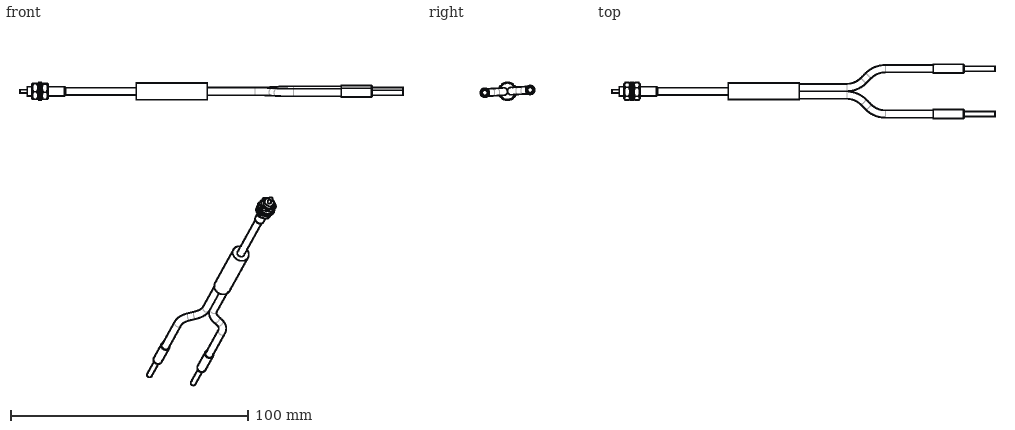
import cadquery as cq
import math


tip_length = 3.0
tip_diameter = 1.5
barrel_length = 16.3
barrel_diameter = 4.0
barrel_chamfer = 0.6

nut_start = 4.9
nut_length = 3.0
nut_across_flats = 6.5
nut_across_corners = nut_across_flats / math.cos(math.radians(30))
nut_face_diameter = 5.6
nut_chamfer_angle = 40.0
front_nut_turn = 3.0
rear_nut_turn = 4.5
washer_thickness = 0.5
washer_ring_diameter = 6.2
washer_diameter = 7.61
tooth_count = 12
tooth_width = 1.2
tooth_twist = 35.0
washer_space = tooth_width * math.sin(math.radians(tooth_twist)) \
    + washer_thickness * math.cos(math.radians(tooth_twist))

cable_diameter = 3.1
housing_length = 30.0
housing_diameter = 7.1

branch_diameter = 3.2
branch_offset = branch_diameter / 2
branch_lead = 20.0
bend_radius = 10.0
bend_angle = 45.0
bend_gap = 3.0
branch_run = 20.3
sleeve_length = 13.0
sleeve_diameter = 3.82
sleeve_chamfer = 0.4
fibre_length = 13.0
fibre_diameter = 2.2
branch_tilt = 3.4

total_length = 161.6
head_end = tip_length + barrel_length
washer_center = nut_start + nut_length + washer_space / 2
rear_nut_start = nut_start + nut_length + washer_space
bend_sin = math.sin(math.radians(bend_angle))
bend_cos = math.cos(math.radians(bend_angle))
spread_length = 2 * bend_radius * bend_sin + bend_gap * bend_cos
spread_offset = 2 * bend_radius * (1 - bend_cos) + bend_gap * bend_sin
sleeve_start = total_length - fibre_length - sleeve_length
bend_start = sleeve_start - branch_run - spread_length
housing_end = bend_start - branch_lead
housing_start = housing_end - housing_length


def rod(start, length, diameter, y=0.0):
    """Cylinder parallel to X."""
    return cq.Workplane("YZ", origin=(start, y, 0)).circle(diameter / 2).extrude(length)


def make_head():
    barrel = rod(tip_length, barrel_length, barrel_diameter).faces(">X").chamfer(barrel_chamfer)
    return barrel.union(rod(0, tip_length, tip_diameter))


def make_nut(start, turn):
    """Hex nut with a conical chamfer on both ends."""
    blank = cq.Workplane("YZ").polygon(6, nut_across_corners).extrude(nut_length)
    corner_radius = nut_across_corners / 2
    face_radius = nut_face_diameter / 2
    chamfer_depth = (corner_radius - face_radius) * math.tan(math.radians(nut_chamfer_angle))
    envelope = (
        cq.Workplane("XY")
        .polyline([
            (0, 0),
            (0, face_radius),
            (chamfer_depth, corner_radius),
            (nut_length - chamfer_depth, corner_radius),
            (nut_length, face_radius),
            (nut_length, 0),
        ])
        .close()
        .revolve(360, (0, 0, 0), (1, 0, 0))
    )
    nut = blank.intersect(envelope)
    nut = nut.rotate((0, 0, 0), (1, 0, 0), turn).translate((start, 0, 0))
    return nut.cut(rod(start, nut_length, barrel_diameter))


def make_washer():
    """Flat ring carrying twisted teeth, trimmed to the outer diameter."""
    washer = rod(-washer_thickness / 2, washer_thickness, washer_ring_diameter)
    tooth_root = barrel_diameter / 2
    tooth = (
        cq.Workplane("XY", origin=(0, 0, tooth_root))
        .rect(washer_thickness, tooth_width)
        .extrude(washer_diameter / 2)
        .rotate((0, 0, 0), (0, 0, 1), tooth_twist)
    )
    for index in range(tooth_count):
        washer = washer.union(tooth.rotate((0, 0, 0), (1, 0, 0), index * 360 / tooth_count))
    washer = washer.intersect(rod(-washer_space / 2, washer_space, washer_diameter))
    washer = washer.cut(rod(-washer_space / 2, washer_space, barrel_diameter))
    return washer.translate((washer_center, 0, 0))


def make_trunk():
    cable = rod(head_end, housing_start - head_end, cable_diameter)
    return cable.union(rod(housing_start, housing_length, housing_diameter))


def make_branch(side):
    """Branch on the +Y (side = 1) or -Y (side = -1) side of the axis."""
    half_sin = math.sin(math.radians(bend_angle / 2))
    half_cos = math.cos(math.radians(bend_angle / 2))
    first_mid = (bend_radius * half_sin, bend_radius * (1 - half_cos))
    first_end = (bend_radius * bend_sin, bend_radius * (1 - bend_cos))

    def outward(along, across):
        return (bend_start + along, side * (branch_offset + across))

    def from_far_end(point):
        return outward(spread_length - point[0], spread_offset - point[1])

    path = (
        cq.Workplane("XY")
        .moveTo(housing_end, side * branch_offset)
        .lineTo(*outward(0, 0))
        .threePointArc(outward(*first_mid), outward(*first_end))
        .lineTo(*from_far_end(first_end))
        .threePointArc(from_far_end(first_mid), outward(spread_length, spread_offset))
        .lineTo(sleeve_start, side * (branch_offset + spread_offset))
    )
    section = cq.Workplane("YZ", origin=(housing_end, side * branch_offset, 0)).circle(branch_diameter / 2)
    branch = section.sweep(path)

    end_offset = side * (branch_offset + spread_offset)
    sleeve = rod(sleeve_start, sleeve_length, sleeve_diameter, end_offset).faces(">X").chamfer(sleeve_chamfer)
    fibre = rod(sleeve_start + sleeve_length, fibre_length, fibre_diameter, end_offset)
    branch = branch.union(sleeve).union(fibre)
    return branch.rotate((0, 0, 0), (1, 0, 0), branch_tilt)


head = make_head()
front_nut = make_nut(nut_start, front_nut_turn)
rear_nut = make_nut(rear_nut_start, rear_nut_turn)
washer = make_washer()
trunk = make_trunk()
branches = [make_branch(side) for side in (1, -1)]

result = cq.Compound.makeCompound([
    head.val(),
    front_nut.val(),
    rear_nut.val(),
    washer.val(),
    trunk.val(),
    *[branch.val() for branch in branches],
])